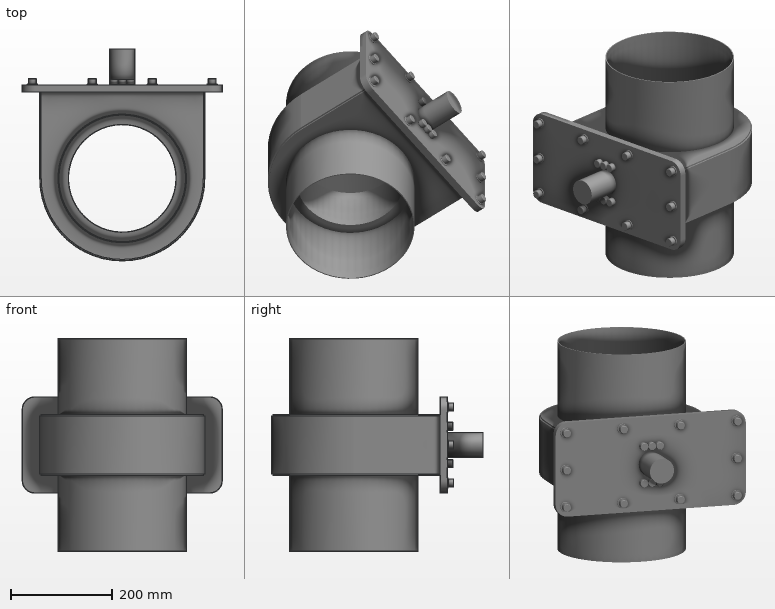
import cadquery as cq


PIPE_LENGTH = 420.0
PIPE_OUTER_DIAMETER = 254.0
PIPE_WALL = 2.0
PIPE_INSERTION = 5.0

HOUSING_RADIUS = 163.0
HOUSING_HEIGHT = 120.0
RIM_STEP_HEIGHT = 3.0
RIM_STEP_INSET = 3.0
BORE_DIAMETER = 212.0

FLANGE_WIDTH = 395.0
FLANGE_HEIGHT = 190.0
FLANGE_THICKNESS = 14.0
FLANGE_CORNER_RADIUS = 25.0
FLANGE_INNER_Y = 170.45
FLANGE_OUTER_Y = FLANGE_INNER_Y + FLANGE_THICKNESS

ROD_DIAMETER = 50.0
ROD_END_Y = 255.45
ROD_LENGTH = ROD_END_Y - FLANGE_OUTER_Y

HEAD_DIAMETER = 16.0
HEAD_HEIGHT = 11.0
HEAD_CHAMFER = 0.7
WASHER_DIAMETER = 20.5
WASHER_THICKNESS = 1.6
WASHER_CHAMFER = 0.5
FLANGE_SCREW_X = 177.5
FLANGE_SCREW_INNER_X = FLANGE_SCREW_X / 3
FLANGE_SCREW_Z = 75.0
GLAND_SCREW_PITCH = 16.3
GLAND_SCREW_Z = 37.0


def y_cylinder(x, y, z, diameter, length):
    """Cylinder along +Y whose base centre is at (x, y, z)."""
    base = cq.Plane(origin=(x, y, z), xDir=(1, 0, 0), normal=(0, 1, 0))
    return cq.Workplane(base).circle(diameter / 2).extrude(length)


def make_u_block(radius, height):
    """Block centred on Z = 0: half round at -Y, straight sides running to the flange."""
    return (
        cq.Workplane("XY", origin=(0, 0, -height / 2))
        .moveTo(-radius, FLANGE_INNER_Y)
        .lineTo(-radius, 0)
        .threePointArc((0, -radius), (radius, 0))
        .lineTo(radius, FLANGE_INNER_Y)
        .close()
        .extrude(height)
    )


def make_housing():
    """U-shaped solid block with a small step around its top and bottom rims."""
    wide_part = make_u_block(HOUSING_RADIUS, HOUSING_HEIGHT - 2 * RIM_STEP_HEIGHT)
    stepped_part = make_u_block(HOUSING_RADIUS - RIM_STEP_INSET, HOUSING_HEIGHT)
    return wide_part.union(stepped_part)


def make_pipe_cutter():
    """Clear passage: the narrow bore, widened to the pipe inside above and below."""
    pipe_inside = PIPE_OUTER_DIAMETER / 2 - PIPE_WALL
    ledge_z = HOUSING_HEIGHT / 2 - PIPE_INSERTION
    cutter = cq.Workplane("XY").circle(BORE_DIAMETER / 2).extrude(PIPE_LENGTH / 2, both=True)
    for direction in (1, -1):
        counterbore = (
            cq.Workplane("XY", origin=(0, 0, direction * ledge_z))
            .circle(pipe_inside)
            .extrude(direction * (PIPE_LENGTH / 2 - ledge_z))
        )
        cutter = cutter.union(counterbore)
    return cutter


def make_flange():
    """Rounded rectangular plate closing the flat end of the housing."""
    return (
        cq.Workplane("XY")
        .box(FLANGE_WIDTH, FLANGE_THICKNESS, FLANGE_HEIGHT)
        .edges("|Y")
        .fillet(FLANGE_CORNER_RADIUS)
        .translate((0, FLANGE_INNER_Y + FLANGE_THICKNESS / 2, 0))
    )


def make_head(x, y, z):
    """Cylindrical screw head with both rims chamfered."""
    return y_cylinder(x, y, z, HEAD_DIAMETER, HEAD_HEIGHT).faces("|Y").chamfer(HEAD_CHAMFER)


def make_washered_screw(x, z):
    """Screw head seated on a washer on the flange."""
    washer = y_cylinder(x, FLANGE_OUTER_Y, z, WASHER_DIAMETER, WASHER_THICKNESS)
    washer = washer.faces(">Y").chamfer(WASHER_CHAMFER)
    return washer.union(make_head(x, FLANGE_OUTER_Y + WASHER_THICKNESS, z))


pipe = cq.Workplane("XY").circle(PIPE_OUTER_DIAMETER / 2).extrude(PIPE_LENGTH / 2, both=True)
rod = y_cylinder(0, FLANGE_OUTER_Y, 0, ROD_DIAMETER, ROD_LENGTH)

result = make_housing().union(pipe).cut(make_pipe_cutter()).union(make_flange()).union(rod)

for screw_x in (-FLANGE_SCREW_X, -FLANGE_SCREW_INNER_X, FLANGE_SCREW_INNER_X, FLANGE_SCREW_X):
    for screw_z in (-FLANGE_SCREW_Z, FLANGE_SCREW_Z):
        result = result.union(make_washered_screw(screw_x, screw_z))

for screw_x in (-FLANGE_SCREW_X, FLANGE_SCREW_X):
    result = result.union(make_washered_screw(screw_x, 0))

for column in (-1, 0, 1):
    for screw_z in (-GLAND_SCREW_Z, GLAND_SCREW_Z):
        result = result.union(make_head(column * GLAND_SCREW_PITCH, FLANGE_OUTER_Y, screw_z))